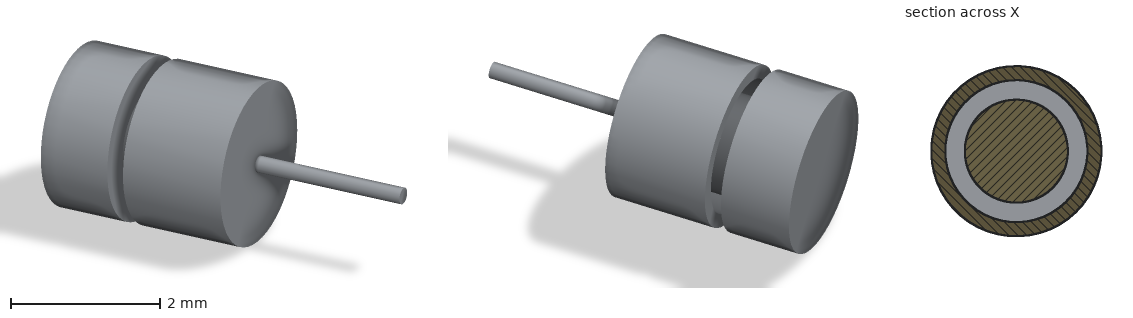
import cadquery as cq

body_diameter = 2.29
neck_diameter = 1.39
recess_diameter = 1.9
pin_diameter = 0.23
cap_length = 1.0
gap_length = 0.235
barrel_end = 2.7
recess_depth = 1.2
total_length = 4.87

barrel_start = cap_length + gap_length
recess_floor = barrel_start + recess_depth


def cylinder(start, end, diameter):
    """Solid cylinder about the X axis, from x = start to x = end."""
    return cq.Workplane("YZ", origin=(start, 0, 0)).circle(diameter / 2).extrude(end - start)


neck = cylinder(cap_length, recess_floor, neck_diameter)
cap = cylinder(0, cap_length, body_diameter).union(neck)

recess = cylinder(barrel_start, recess_floor, recess_diameter)
barrel = cylinder(barrel_start, barrel_end, body_diameter).cut(recess)

pin = cylinder(barrel_end, total_length, pin_diameter)

result = cq.Compound.makeCompound([cap.val(), barrel.val(), pin.val()])